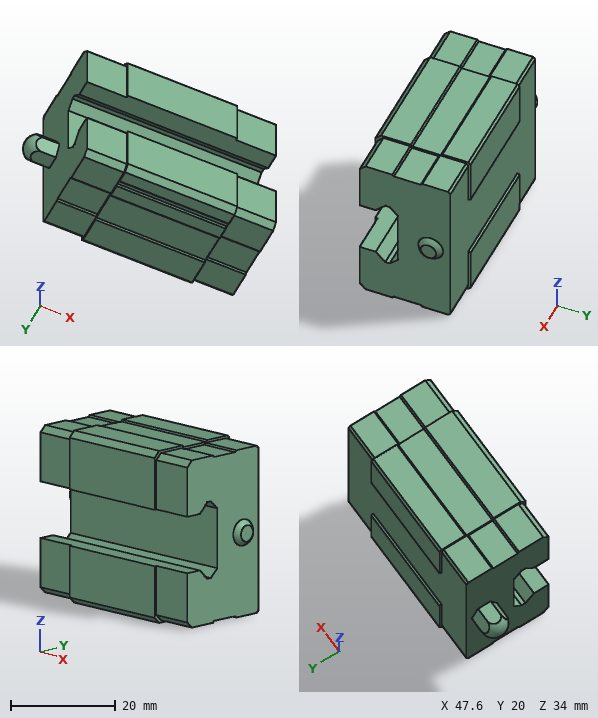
import cadquery as cq
import math

total_length = 47.6
block_depth = 20.0
block_height = 34.0
half_height = block_height / 2

body_length = 40.45
button_height = 1.1
cap_length = 8.5
body_end = total_length - button_height
body_start = body_end - body_length
block_start = body_start + cap_length
block_length = body_length - 2 * cap_length

cap_inset = 0.48
back_chamfer = 0.48
front_chamfer = 1.25
step_depth = 0.35
block_groove_front, block_groove_back = 7.45, 14.1
cap_groove_front, cap_groove_back = 7.35, 13.6
notch_front, notch_back = 3.6, 4.95
back_recess_half_height = 7.2

mouth_half_height = 5.55
lip_depth = 3.85
pocket_half_height = 7.55
pocket_flat = 0.9
channel_depth = 8.5
channel_floor_half_height = 5.9

nipple_y = 15.37
nipple_across_corners = 5.85
dome_radius = nipple_across_corners / 2
button_flat_diameter = 3.25


def extrude_along_x(points, start, length):
    """Extrude a closed (Y, Z) outline from X = start."""
    return cq.Workplane("YZ", origin=(start, 0, 0)).polyline(points).close().extrude(length)


def chamfered_box(start, length, inset):
    """Box inset on all four long sides, with larger chamfers on the rail side."""
    front = inset
    back = block_depth - inset
    top = half_height - inset
    outline = [
        (front, -top + front_chamfer),
        (front + front_chamfer, -top),
        (back - back_chamfer, -top),
        (back, -top + back_chamfer),
        (back, top - back_chamfer),
        (back - back_chamfer, top),
        (front + front_chamfer, top),
        (front, top - front_chamfer),
    ]
    return extrude_along_x(outline, start, length)


def side_groove(start, length, front, back, surface, side):
    """Shallow groove with 45 degree walls in the top (side = 1) or bottom (side = -1)."""
    outline = [
        (front, side * surface),
        (front + step_depth, side * (surface - step_depth)),
        (back - step_depth, side * (surface - step_depth)),
        (back, side * surface),
    ]
    return extrude_along_x(outline, start, length)


def back_recess():
    """Recess bringing the middle of the block's back flush with the caps."""
    floor_half_height = back_recess_half_height - cap_inset / 2
    floor = block_depth - cap_inset
    outline = [
        (block_depth, -back_recess_half_height),
        (floor, -floor_half_height),
        (floor, floor_half_height),
        (block_depth, back_recess_half_height),
    ]
    return extrude_along_x(outline, block_start, block_length)


def rail_channel():
    """Channel along the whole body, with a pocket behind each lip."""
    pocket_front = lip_depth + pocket_half_height - mouth_half_height
    upper = [
        (0, mouth_half_height),
        (lip_depth, mouth_half_height),
        (pocket_front, pocket_half_height),
        (pocket_front + pocket_flat, pocket_half_height),
        (channel_depth, channel_floor_half_height),
    ]
    lower = [(y, -z) for y, z in reversed(upper)]
    return extrude_along_x(upper + lower, body_start, body_length)


def grease_nipple():
    """Hexagonal stem ending in a spherical dome."""
    stem = (
        cq.Workplane("YZ", origin=(0, nipple_y, 0))
        .polygon(6, nipple_across_corners)
        .extrude(body_start)
    )
    dome = (
        cq.Workplane("XY", origin=(0, nipple_y, 0))
        .moveTo(0, 0)
        .radiusArc((dome_radius, dome_radius), dome_radius)
        .lineTo(body_start, dome_radius)
        .lineTo(body_start, 0)
        .close()
        .revolve(360, (0, 0, 0), (1, 0, 0))
    )
    return stem.intersect(dome)


def button():
    """Spherical zone with a flat outer face."""
    flat_radius = button_flat_diameter / 2
    flat_offset = math.sqrt(dome_radius**2 - flat_radius**2)
    base_radius = math.sqrt(dome_radius**2 - (flat_offset - button_height) ** 2)
    middle_offset = flat_offset - button_height / 2
    middle_radius = math.sqrt(dome_radius**2 - middle_offset**2)
    return (
        cq.Workplane("XY", origin=(body_end, nipple_y, 0))
        .lineTo(0, base_radius)
        .threePointArc((button_height / 2, middle_radius), (button_height, flat_radius))
        .lineTo(button_height, 0)
        .close()
        .revolve(360, (0, 0, 0), (1, 0, 0))
    )


block = chamfered_box(block_start, block_length, 0).cut(back_recess())
for side in (1, -1):
    block = block.cut(
        side_groove(block_start, block_length, block_groove_front, block_groove_back, half_height, side)
    )
block = block.cut(side_groove(block_start, block_length, notch_front, notch_back, half_height, -1))

body = block
for cap_start in (body_start, block_start + block_length):
    cap = chamfered_box(cap_start, cap_length, cap_inset)
    for side in (1, -1):
        cap = cap.cut(
            side_groove(
                cap_start, cap_length, cap_groove_front, cap_groove_back, half_height - cap_inset, side
            )
        )
    body = body.union(cap)

result = body.cut(rail_channel()).union(grease_nipple()).union(button())